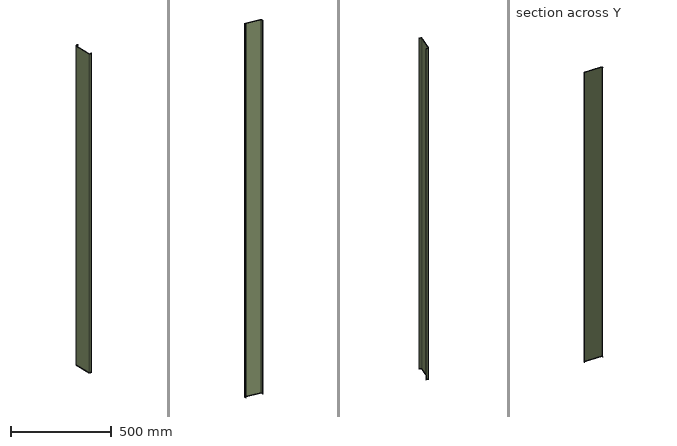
import cadquery as cq

length = 2000.0
width = 100.0
depth = 15.0
thickness = 1.5
outer_bend_radius = 5.0
inner_bend_radius = outer_bend_radius - thickness

outer = (
    cq.Workplane("XY")
    .box(width, depth, length)
    .edges("|Z and <Y")
    .fillet(outer_bend_radius)
)

hollow = (
    cq.Workplane("XY")
    .box(width - 2 * thickness, depth, length)
    .edges("|Z and <Y")
    .fillet(inner_bend_radius)
    .translate((0, thickness, 0))
)

result = outer.cut(hollow)